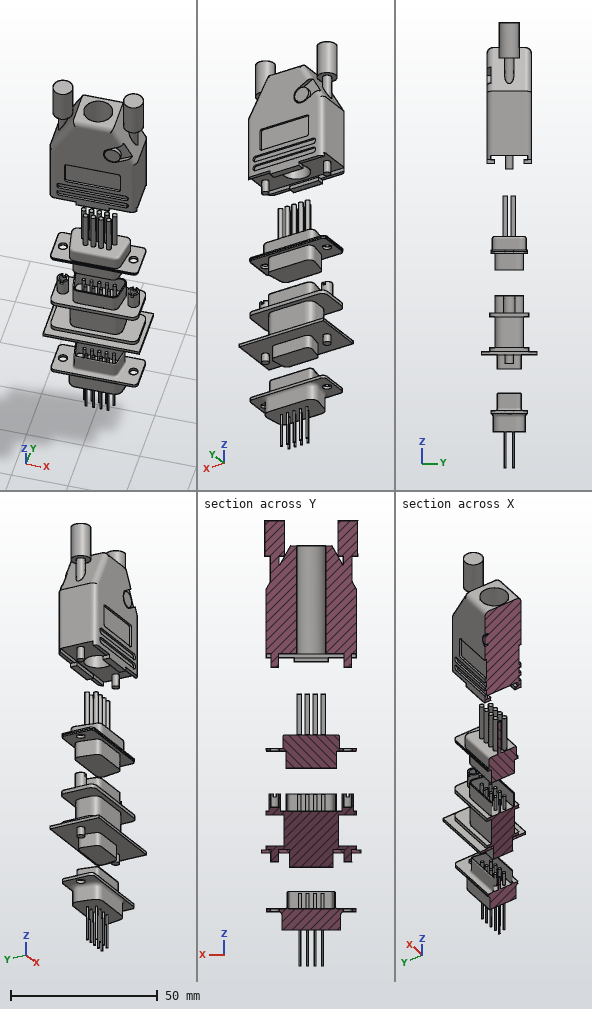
import cadquery as cq
import math


SCREW_X = 12.5
D_SLANT = 10
ROW_SPACING = 2.7
LONG_ROW, SHORT_ROW = 5, 4
SHELL_WALL = 0.5
FLANGE_HOLE = 3.0
CONNECTOR_FLANGE = (30.7, 12.5, 1.5)
PLUG_D = (18.2, 9.7, 2.1)
CONTACT = 1.0

TOTAL_TOP = 152.0
HOOD_TOP = 143.5
HOOD_SHOULDER = 128.7
HOOD_BOTTOM = 105.2
HOOD_HALF_WIDTH = 15.5
HOOD_TOP_HALF_WIDTH = 7.1
HOOD_DEPTH = 15.2
HOOD_ROUND = 2.1
CABLE_HOLE = 9.9
TAB_WIDTH, TAB_THICKNESS, TAB_DROP = 11.7, 2.6, 1.4
NOTCH_WIDTH, NOTCH_RISE = 12.5, 1.4
MARK_DEPTH = 0.8
LABEL_WIDTH, LABEL_HEIGHT, LABEL_ROUND, LABEL_Z = 19.6, 8.2, 0.8, 118.5
GROOVE_LENGTH, GROOVE_HEIGHT = 25.2, 2.1
GROOVE_LEVELS = (111.6, 108.1)
CLIP_X, CLIP_Z = 7.0, 131.2
CLIP_WIDTH, CLIP_DEPTH, CLIP_REACH = 6.2, 1.4, 12.2
CLIP_DISC = 5.6
HEAD_DIAMETER, HEAD_HEIGHT = 6.8, 12.2
SHANK_DIAMETER = 3.2
TAIL_DIAMETER, TAIL_BOTTOM = 2.6, 102.0

CABLE_RIM = (31.0, 12.6, 1.5)
CABLE_FLANGE_TOP, CABLE_FLANGE_THICKNESS = 74.4, 1.0
CABLE_BLOCK_D = (20.8, 11.7, 2.1)
CABLE_BLOCK_HEIGHT, CABLE_BLOCK_ROUND = 4.7, 0.9
CABLE_PLUG_LENGTH = 5.8
WIRE_DIAMETER, WIRE_PITCH, WIRE_TOP = 1.7, 2.7, 92.9

PLATE_BOTTOM, PLATE_THICKNESS = 38.6, 1.0
PLATE_LENGTH, PLATE_WIDTH = 34.0, 19.0
ADAPTER_FLANGE = (31.0, 13.4, 2.3)
ADAPTER_FLANGE_THICKNESS = 1.4
UPPER_FLANGE_TOP = 52.9
ADAPTER_BODY = (18.7, 9.7, 2.9)
ADAPTER_SHELL_HEIGHT = 6.0
ADAPTER_CONTACT_HEIGHT = 5.6
ADAPTER_PITCH = 2.7
SOCKET_D = (15.7, 8.2, 1.8)
SOCKET_BOTTOM = 33.8
JACK_DIAMETER, JACK_BORE, JACK_BORE_DEPTH = 4.0, 2.6, 4.5
JACK_SLOT_WIDTH, JACK_SLOT_DEPTH = 0.9, 1.0
JACK_TAIL_DIAMETER, JACK_TAIL_BOTTOM = 2.7, 35.6

BOARD_FLANGE_TOP, BOARD_FLANGE_THICKNESS = 19.6, 1.0
BOARD_SHELL_D = (17.5, 8.2, 1.4)
BOARD_SHELL_HEIGHT, BOARD_SHELL_FILLET = 6.0, 0.8
BOARD_RIM_ROUND = 0.38
BOARD_CONTACT_HEIGHT = 5.2
BOARD_BLOCK_D = (20.8, 11.0, 2.9)
BOARD_BLOCK_BOTTOM, BOARD_BLOCK_FILLET = 12.3, 1.4
PIN_DIAMETER, BOARD_PITCH = 0.68, 2.6

EDGE_MARGIN = 0.2


def d_block(shape, bottom, top, inset=0):
    """Upright block with a D-shaped section, shrunk all round by the inset."""
    width, depth, radius = shape
    half_depth = depth / 2 - inset
    radius = radius - inset
    slant = math.radians(D_SLANT)
    corner_centre = width / 2 - inset - radius
    wide = corner_centre + radius * (1 + math.sin(slant)) / math.cos(slant)
    narrow = wide - 2 * half_depth * math.tan(slant)
    outline = [(-wide, half_depth), (wide, half_depth), (narrow, -half_depth), (-narrow, -half_depth)]
    block = cq.Workplane("XY").workplane(offset=bottom).polyline(outline).close().extrude(top - bottom)
    return block.edges("|Z").fillet(radius)


def round_block(shape, bottom, top):
    """Upright block with a rectangular section and rounded corners."""
    length, width, radius = shape
    block = cq.Workplane("XY").workplane(offset=bottom).rect(length, width).extrude(top - bottom)
    return block.edges("|Z").fillet(radius)


def rods(points, diameter, bottom, top):
    """Upright round rods at the given points."""
    plane = cq.Workplane("XY").workplane(offset=bottom)
    return plane.pushPoints(points).circle(diameter / 2).extrude(top - bottom)


def contact_points(pitch):
    """Two staggered rows of contacts, the longer row on the +Y side."""
    rows = ((LONG_ROW, ROW_SPACING / 2), (SHORT_ROW, -ROW_SPACING / 2))
    return [((i - (count - 1) / 2) * pitch, y) for count, y in rows for i in range(count)]


def fillet_foot(body, shape, level, radius):
    """Fillet the corner where a D block of the given shape meets a flange face at this level."""
    x = shape[0] / 2 + EDGE_MARGIN
    y = shape[1] / 2 + EDGE_MARGIN
    foot = cq.selectors.BoxSelector((-x, -y, level - EDGE_MARGIN), (x, y, level + EDGE_MARGIN))
    return body.edges(foot).fillet(radius)


SCREW_POINTS = [(-SCREW_X, 0), (SCREW_X, 0)]


def hood_face_plane():
    """Workplane on the -Y face of the hood, with local x = X and local y = Z."""
    return cq.Workplane("XZ", origin=(0, -HOOD_DEPTH / 2, 0))


def clip_pocket():
    """Round-ended pocket that runs out square through the sloped side, around a round disc."""
    slope_run = HOOD_HALF_WIDTH - HOOD_TOP_HALF_WIDTH
    slope_drop = HOOD_TOP - HOOD_SHOULDER
    angle = math.degrees(math.atan2(slope_run, slope_drop))
    face = hood_face_plane().center(CLIP_X, CLIP_Z)
    channel = face.center(CLIP_REACH / 2, 0).rect(CLIP_REACH, CLIP_WIDTH).extrude(-CLIP_DEPTH)
    channel = channel.rotate((CLIP_X, 0, CLIP_Z), (CLIP_X, -1, CLIP_Z), angle)
    round_end = hood_face_plane().center(CLIP_X, CLIP_Z).circle(CLIP_WIDTH / 2).extrude(-CLIP_DEPTH)
    disc = hood_face_plane().center(CLIP_X, CLIP_Z).circle(CLIP_DISC / 2).extrude(-CLIP_DEPTH)
    return channel.union(round_end).cut(disc)


def face_recesses():
    """Label recess, grip grooves and clip pocket of the -Y face."""
    label = hood_face_plane().center(0, LABEL_Z).rect(LABEL_WIDTH, LABEL_HEIGHT).extrude(-MARK_DEPTH)
    recesses = label.edges("|Y").fillet(LABEL_ROUND)
    for level in GROOVE_LEVELS:
        groove = hood_face_plane().center(0, level).slot2D(GROOVE_LENGTH, GROOVE_HEIGHT).extrude(-MARK_DEPTH)
        recesses = recesses.union(groove)
    return recesses.union(clip_pocket())


def make_hood():
    outline = [
        (-HOOD_HALF_WIDTH, HOOD_BOTTOM),
        (-HOOD_HALF_WIDTH, HOOD_SHOULDER),
        (-HOOD_TOP_HALF_WIDTH, HOOD_TOP),
        (HOOD_TOP_HALF_WIDTH, HOOD_TOP),
        (HOOD_HALF_WIDTH, HOOD_SHOULDER),
        (HOOD_HALF_WIDTH, HOOD_BOTTOM),
    ]
    hood = hood_face_plane().polyline(outline).close().extrude(-HOOD_DEPTH)
    hood = hood.faces("<Y or >Y").edges("not <Z").fillet(HOOD_ROUND)

    notch_top = HOOD_BOTTOM + NOTCH_RISE
    notch_plane = cq.Workplane("XY").workplane(offset=HOOD_BOTTOM)
    hood = hood.cut(notch_plane.rect(2 * HOOD_HALF_WIDTH, NOTCH_WIDTH).extrude(NOTCH_RISE))
    tab_points = [(0, side * (HOOD_DEPTH - TAB_THICKNESS) / 2) for side in (-1, 1)]
    tab_plane = cq.Workplane("XY").workplane(offset=HOOD_BOTTOM - TAB_DROP)
    tabs = tab_plane.pushPoints(tab_points).rect(TAB_WIDTH, TAB_THICKNESS).extrude(TAB_DROP)
    hood = hood.union(tabs)

    recesses = face_recesses()
    hood = hood.cut(recesses).cut(recesses.rotate((0, 0, 0), (0, 0, 1), 180))
    hood = hood.cut(rods([(0, 0)], CABLE_HOLE, HOOD_BOTTOM, HOOD_TOP))

    head_bottom = TOTAL_TOP - HEAD_HEIGHT
    hood = hood.union(rods(SCREW_POINTS, HEAD_DIAMETER, head_bottom, TOTAL_TOP))
    hood = hood.union(rods(SCREW_POINTS, SHANK_DIAMETER, notch_top, head_bottom))
    return hood.union(rods(SCREW_POINTS, TAIL_DIAMETER, TAIL_BOTTOM, notch_top))


def make_cable_connector():
    flange_bottom = CABLE_FLANGE_TOP - CABLE_FLANGE_THICKNESS
    block_top = CABLE_FLANGE_TOP + CABLE_BLOCK_HEIGHT
    block = d_block(CABLE_BLOCK_D, CABLE_FLANGE_TOP, block_top)
    rim_bottom = CABLE_FLANGE_TOP - CABLE_FLANGE_THICKNESS / 2
    connector = round_block(CONNECTOR_FLANGE, flange_bottom, rim_bottom)
    connector = connector.union(round_block(CABLE_RIM, rim_bottom, CABLE_FLANGE_TOP))
    connector = connector.union(block.faces(">Z").edges().fillet(CABLE_BLOCK_ROUND))
    connector = connector.union(d_block(PLUG_D, flange_bottom - CABLE_PLUG_LENGTH, flange_bottom))
    connector = connector.union(rods(contact_points(WIRE_PITCH), WIRE_DIAMETER, block_top, WIRE_TOP))
    return connector.cut(rods(SCREW_POINTS, FLANGE_HOLE, flange_bottom, CABLE_FLANGE_TOP))


def jackscrew_heads(bottom, top):
    """Round heads with a blind bore and a driver slot along Y."""
    heads = rods(SCREW_POINTS, JACK_DIAMETER, bottom, top)
    heads = heads.cut(rods(SCREW_POINTS, JACK_BORE, top - JACK_BORE_DEPTH, top))
    slot_plane = cq.Workplane("XY").workplane(offset=top - JACK_SLOT_DEPTH).pushPoints(SCREW_POINTS)
    return heads.cut(slot_plane.rect(JACK_SLOT_WIDTH, JACK_DIAMETER).extrude(JACK_SLOT_DEPTH))


def adapter_lower_end():
    """Socket and screw tails that pass down through the panel plate."""
    plate_top = PLATE_BOTTOM + PLATE_THICKNESS
    socket = d_block(SOCKET_D, SOCKET_BOTTOM, plate_top)
    return socket.union(rods(SCREW_POINTS, JACK_TAIL_DIAMETER, JACK_TAIL_BOTTOM, plate_top))


def make_adapter():
    lower_bottom = PLATE_BOTTOM + PLATE_THICKNESS
    lower_top = lower_bottom + ADAPTER_FLANGE_THICKNESS
    upper_bottom = UPPER_FLANGE_TOP - ADAPTER_FLANGE_THICKNESS
    shell_top = UPPER_FLANGE_TOP + ADAPTER_SHELL_HEIGHT
    contact_top = UPPER_FLANGE_TOP + ADAPTER_CONTACT_HEIGHT
    shell = d_block(PLUG_D, UPPER_FLANGE_TOP, shell_top)
    shell = shell.cut(d_block(PLUG_D, UPPER_FLANGE_TOP, shell_top, SHELL_WALL))
    adapter = round_block(ADAPTER_FLANGE, lower_bottom, lower_top)
    adapter = adapter.union(round_block(ADAPTER_FLANGE, upper_bottom, UPPER_FLANGE_TOP))
    adapter = adapter.union(round_block(ADAPTER_BODY, lower_top, upper_bottom))
    adapter = adapter.union(shell)
    adapter = adapter.union(rods(contact_points(ADAPTER_PITCH), CONTACT, UPPER_FLANGE_TOP, contact_top))
    adapter = adapter.union(jackscrew_heads(UPPER_FLANGE_TOP, shell_top))
    return adapter.union(adapter_lower_end())


def make_panel_plate():
    plane = cq.Workplane("XY").workplane(offset=PLATE_BOTTOM)
    plate = plane.rect(PLATE_LENGTH, PLATE_WIDTH).extrude(PLATE_THICKNESS)
    return plate.cut(adapter_lower_end())


def make_board_connector():
    flange_bottom = BOARD_FLANGE_TOP - BOARD_FLANGE_THICKNESS
    shell_top = BOARD_FLANGE_TOP + BOARD_SHELL_HEIGHT
    contact_top = BOARD_FLANGE_TOP + BOARD_CONTACT_HEIGHT
    contacts = contact_points(BOARD_PITCH)
    shell = d_block(BOARD_SHELL_D, BOARD_FLANGE_TOP, shell_top)
    connector = round_block(CONNECTOR_FLANGE, flange_bottom, BOARD_FLANGE_TOP)
    connector = connector.union(shell.faces(">Z").edges().fillet(BOARD_RIM_ROUND))
    connector = connector.union(d_block(BOARD_BLOCK_D, BOARD_BLOCK_BOTTOM, flange_bottom))
    connector = fillet_foot(connector, BOARD_SHELL_D, BOARD_FLANGE_TOP, BOARD_SHELL_FILLET)
    connector = fillet_foot(connector, BOARD_BLOCK_D, flange_bottom, BOARD_BLOCK_FILLET)
    holes_bottom = flange_bottom - BOARD_BLOCK_FILLET
    connector = connector.cut(rods(SCREW_POINTS, FLANGE_HOLE, holes_bottom, BOARD_FLANGE_TOP))
    connector = connector.cut(d_block(BOARD_SHELL_D, BOARD_FLANGE_TOP, shell_top, SHELL_WALL))
    connector = connector.union(rods(contacts, CONTACT, BOARD_FLANGE_TOP, contact_top))
    return connector.union(rods(contacts, PIN_DIAMETER, 0, BOARD_BLOCK_BOTTOM))


hood = make_hood()
cable_connector = make_cable_connector()
adapter = make_adapter()
panel_plate = make_panel_plate()
board_connector = make_board_connector()

result = cq.Compound.makeCompound([
    hood.solids().val(),
    cable_connector.solids().val(),
    adapter.solids().val(),
    panel_plate.solids().val(),
    board_connector.solids().val(),
])